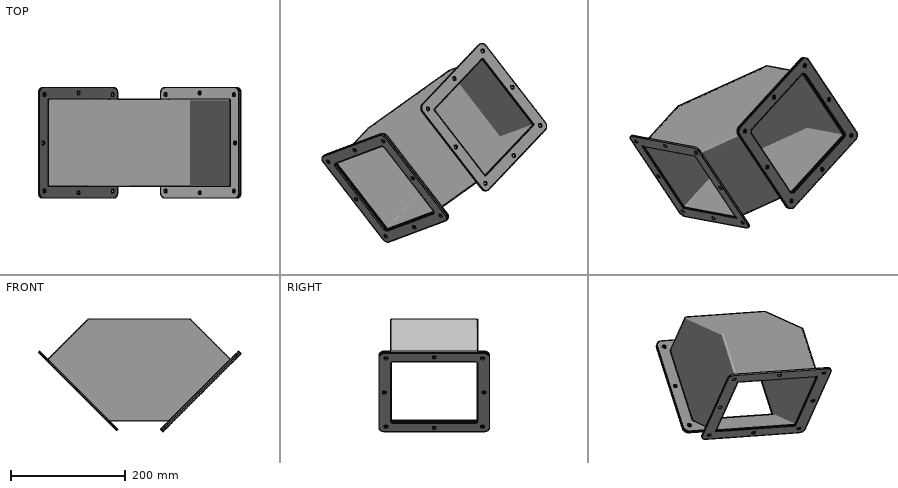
import cadquery as cq
import math

duct_section = 153.0
duct_top = 125.0
mouth_offset = 105.7
sheet = 2.0
bend_radius = 3.0

plate_side = 193.5
plate_thickness = 3.0
plate_corner_radius = 10.0
flange_opening = 150.0
gasket_opening = duct_section
gasket_opening_radius = 6.0
hole_diameter = 6.7
corner_hole_offset = 84.5
middle_hole_offset = 87.3

diagonal = math.sqrt(2)


def is_mouth_edge(edge):
    """True when the edge lies in the plane of a mouth."""
    middle = edge.Center()
    return abs(abs(middle.x) - middle.z - mouth_offset) < sheet / 10


def elbow_prism(inset):
    """Solid elbow, inset evenly from the duct's outer faces but reaching both 45-degree mouths."""
    shoulder_z = (duct_section / 2 - inset) / diagonal
    shoulder_x = mouth_offset + shoulder_z
    roof_z = duct_top - inset
    roof_x = shoulder_x - (roof_z - shoulder_z)
    floor_z = -duct_section / (2 * diagonal) + inset
    floor_x = mouth_offset + floor_z
    radius = bend_radius - inset
    prism = (
        cq.Workplane("XZ")
        .polyline([
            (-floor_x, floor_z),
            (floor_x, floor_z),
            (shoulder_x, shoulder_z),
            (roof_x, roof_z),
            (-roof_x, roof_z),
            (-shoulder_x, shoulder_z),
        ])
        .close()
        .extrude(duct_section / 2 - inset, both=True)
    )
    prism = prism.faces(">Z").edges("|Y").fillet(radius)
    wall_edges = prism.faces("<Y or >Y").edges().vals()
    folds = [edge for edge in wall_edges if not is_mouth_edge(edge)]
    return prism.newObject(folds).fillet(radius)


def make_duct():
    return elbow_prism(0).cut(elbow_prism(sheet))


def square_prism(plane, side, corner_radius=0):
    """Square block one plate thick, with optional rounded corners."""
    block = cq.Workplane(plane).rect(side, side).extrude(plate_thickness)
    if corner_radius > 0:
        along_normal = cq.selectors.ParallelDirSelector(plane.zDir)
        block = block.edges(along_normal).fillet(corner_radius)
    return block


def mouth_plane(direction, distance=0):
    """Plane facing out of the mouth at -X (direction -1) or +X (1), at a distance beyond it."""
    shift = distance / diagonal
    return cq.Plane(
        origin=(direction * (mouth_offset + shift), 0, -shift),
        xDir=(0, 1, 0),
        normal=(direction, 0, -1),
    )


def make_plate(plane, opening, opening_radius=0):
    """Square plate with a central opening, four corner holes and four mid-side holes."""
    hole_centres = []
    for a in (-1, 1):
        hole_centres += [(a * corner_hole_offset, b * corner_hole_offset) for b in (-1, 1)]
        hole_centres += [(a * middle_hole_offset, 0), (0, a * middle_hole_offset)]
    holes = (
        cq.Workplane(plane)
        .pushPoints(hole_centres)
        .circle(hole_diameter / 2)
        .extrude(plate_thickness)
    )
    blank = square_prism(plane, plate_side, plate_corner_radius)
    return blank.cut(square_prism(plane, opening, opening_radius)).cut(holes)


duct = make_duct()
flanges = [make_plate(mouth_plane(direction), flange_opening) for direction in (-1, 1)]
gasket = make_plate(mouth_plane(1, plate_thickness), gasket_opening, gasket_opening_radius)

result = cq.Compound.makeCompound([
    duct.val(),
    *[flange.val() for flange in flanges],
    gasket.val(),
])